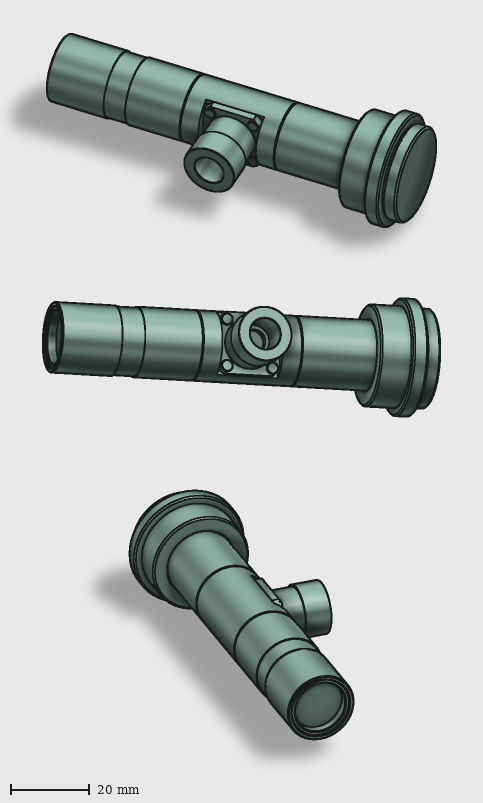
import cadquery as cq
import math

tube_radius = 9.0
neck_radius = 8.75
head_radius = 13.0
flange_radius = 15.0
undercut_radius = 12.2
end_ring_radius = 12.7

neck_start = 15.9
neck_end = 21.9
joint_positions = (37.2, 63.4)
head_start = 83.0
flange_start = 91.0
flange_end = 94.9
end_ring_start = 95.6
total_length = 98.9

edge_chamfer = 0.3
flange_chamfer = 0.45
end_ring_chamfer = 0.5
head_mouth_chamfer = 0.25
joint_depth = 0.2
joint_half_width = 0.2

recess_radius = 6.8
recess_depth = 3.0
rim_radius = 8.0
rim_depth = 0.5
recess_edge_chamfer = 0.25
lens_curve_radius = 100.0

connector_x = 50.3
seat_y = -4.0
seat_length = 16.1
plate_size = 16.0
plate_thickness = 2.0
plate_corner_chamfer = 2.0
screw_spacing = 12.0
screw_radius = 1.5
screw_height = 0.5
connector_edge_chamfer = 0.15
barrel_radius = 6.5
collar_radius = 7.0
collar_length = 7.0
connector_end_y = -20.0
bore_radius = 4.0
bore_depth = 10.0
pilot_radius = 3.0
pilot_depth = 12.0


def disc(start, end, radius):
    """Cylinder about the X axis between two X positions."""
    return cq.Workplane("YZ").workplane(offset=start).circle(radius).extrude(end - start)


def make_joint_groove(position):
    """V-shaped ring cut into the tube surface."""
    profile = (
        cq.Workplane("XY")
        .moveTo(position - joint_half_width, tube_radius)
        .lineTo(position, tube_radius - joint_depth)
        .lineTo(position + joint_half_width, tube_radius)
        .close()
    )
    return profile.revolve(360, (0, 0, 0), (1, 0, 0))


def make_mouth_groove():
    """Chamfer of the head's front opening, leaving a small ring around the tube."""
    profile = (
        cq.Workplane("XY")
        .moveTo(head_start, tube_radius)
        .lineTo(head_start, tube_radius + head_mouth_chamfer)
        .lineTo(head_start + head_mouth_chamfer, tube_radius)
        .close()
    )
    return profile.revolve(360, (0, 0, 0), (1, 0, 0))


def make_recess():
    """Stepped recess with bevelled edges and a shallow convex lens face as its floor."""
    floor_sag = lens_curve_radius - math.sqrt(lens_curve_radius**2 - recess_radius**2)
    profile = (
        cq.Workplane("XY")
        .moveTo(0, 0)
        .lineTo(0, rim_radius)
        .lineTo(rim_depth - recess_edge_chamfer, rim_radius)
        .lineTo(rim_depth, rim_radius - recess_edge_chamfer)
        .lineTo(rim_depth, recess_radius + recess_edge_chamfer)
        .lineTo(rim_depth + recess_edge_chamfer, recess_radius)
        .lineTo(recess_depth, recess_radius)
        .radiusArc((recess_depth - floor_sag, 0), -lens_curve_radius)
        .close()
    )
    return profile.revolve(360, (0, 0, 0), (1, 0, 0))


def make_housing():
    front_tube = disc(0, neck_start, tube_radius).faces("<X").chamfer(edge_chamfer)
    neck = disc(neck_start, neck_end, neck_radius)
    main_tube = disc(neck_end, head_start, tube_radius)
    head = disc(head_start, flange_start, head_radius).faces("<X").chamfer(flange_chamfer)
    flange = disc(flange_start, flange_end, flange_radius).edges().chamfer(flange_chamfer)
    undercut = disc(flange_end, end_ring_start, undercut_radius)
    end_ring = disc(end_ring_start, total_length, end_ring_radius).faces(">X").chamfer(end_ring_chamfer)

    housing = front_tube
    for section in (neck, main_tube, head, flange, undercut, end_ring):
        housing = housing.union(section)
    for position in joint_positions:
        housing = housing.cut(make_joint_groove(position))

    housing = housing.cut(make_mouth_groove())
    housing = housing.cut(make_recess())

    seat_cut = (
        cq.Workplane("XZ", origin=(connector_x, seat_y, 0))
        .rect(seat_length, 2 * tube_radius)
        .extrude(tube_radius)
    )
    return housing.cut(seat_cut)


def post(start_y, end_y, radius):
    """Cylinder on the connector axis between two Y positions, start nearer the housing."""
    return cq.Workplane("XZ", origin=(connector_x, start_y, 0)).circle(radius).extrude(start_y - end_y)


def make_connector():
    plate_top_y = seat_y - plate_thickness
    collar_start_y = connector_end_y + collar_length
    plate = (
        cq.Workplane("XZ", origin=(connector_x, seat_y, 0))
        .rect(plate_size, plate_size)
        .extrude(plate_thickness)
        .edges("|Y")
        .chamfer(plate_corner_chamfer)
    )
    screw_heads = (
        cq.Workplane("XZ", origin=(connector_x, seat_y, 0))
        .rect(screw_spacing, screw_spacing, forConstruction=True)
        .vertices()
        .circle(screw_radius)
        .extrude(plate_thickness + screw_height)
        .faces("<Y")
        .chamfer(connector_edge_chamfer)
    )
    connector = plate.union(screw_heads)
    connector = connector.union(post(plate_top_y, collar_start_y, barrel_radius))
    collar = post(collar_start_y, connector_end_y, collar_radius)
    collar = collar.faces("<Y").chamfer(connector_edge_chamfer)
    connector = connector.union(collar)
    connector = connector.cut(post(connector_end_y + bore_depth, connector_end_y, bore_radius))
    connector = connector.cut(post(connector_end_y + pilot_depth, connector_end_y, pilot_radius))
    bore_mouth = cq.selectors.RadiusNthSelector(0)
    return connector.faces("<Y").edges(bore_mouth).chamfer(connector_edge_chamfer)


housing = make_housing()
connector = make_connector()

result = cq.Compound.makeCompound([housing.val(), connector.val()])